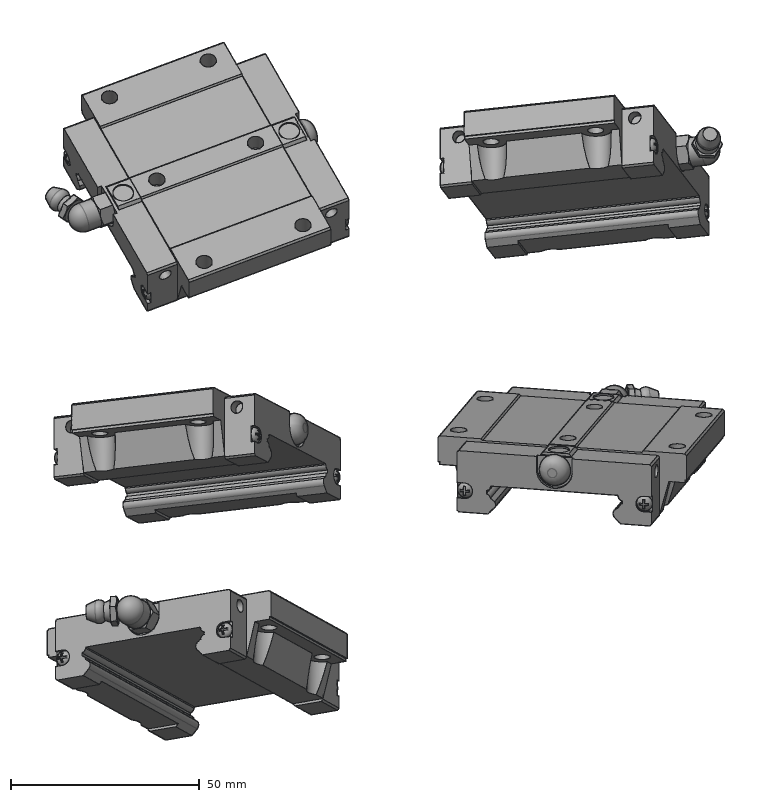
import cadquery as cq
import math


block_length = 41.45
block_height = 18.0
block_width = 68.0
block_half_width = block_width / 2
flange_bottom = 10.0
flange_chamfer = 0.5
flange_step_width = 0.45
flange_step_height = 0.75
pad_recess = 0.45
flange_pad_inner = 22.2
web_half_width = 29.2
block_bottom = 0.75
center_pad_half_width = 3.5

cap_half_width = 26.65
cap_top = 17.0
cap_end = 29.45
cap_chamfer = 0.5
cap_pad_end = 27.45
cap_pad_height = 0.75

opening_top = 7.85
opening_half_width = 17.25
groove_z = 6.0
groove_bottom_x = 18.6
groove_bottom_half_height = 0.4
groove_shoulder_x = 17.85
groove_shoulder_half_height = 0.8
groove_edge_x = 17.5
groove_edge_half_height = 1.55
lip_x = 16.05
lip_z = 2.7
lip_upper = (16.3, 3.55)
lip_lower = (16.5, 1.6)
lip_foot_x = 18.1

hole_radius = 2.15
hole_half_pitch_x = 29.9
hole_half_pitch_y = 14.4
blind_hole_depth = 5.2
drill_point_angle = 118
relief_radius = 4.15

port_y = 24.3
top_port_radius = 2.75
top_port_depth = 0.45
side_port_radius = 1.7
side_port_depth = 2.95
side_port_z = 13.8

screw_x = 24.5
screw_z = 6.0
screw_radius = 2.15
screw_pocket_depth = 0.95
screw_height = 1.5
cross_length = 2.5
cross_width = 0.6
cross_depth = 0.7

lube_z = 13.4
lube_pocket_radius = 4.9
lube_pocket_depth = 1.1
button_radius = 4.2
button_height = 3.3
button_fillet = 2.95

body_hex_flats = 8.1
body_hex_length = 4.1
body_hex_bevel_radial = 0.7
body_hex_bevel_axial = 0.4
body_radius = 3.9
elbow_y = -36.05
nipple_angle = 22.5
nipple_hex_flats = 6.95
nipple_hex_start = 3.4
nipple_hex_end = 5.2
nipple_hex_bevel_radial = 0.7
nipple_hex_bevel_axial = 0.3
nipple_base_radius = 3.1
waist_radius = 2.7
waist_at = 6.2
neck_radius = 2.45
neck_end = 6.95
crown_radius = 3.2
crown_at = 8.4
cone_radius = 3.0
cone_start = 9.2
tip_radius = 1.9
tip_end = 11.8

pocket_floor_y = cap_end - lube_pocket_depth


def both_ends(shape):
    """Return the shape together with its mirror image across the XZ plane."""
    return shape.union(shape.mirror("XZ"))


def both_sides(shape):
    """Return the shape together with its mirror image across the YZ plane."""
    return shape.union(shape.mirror("YZ"))


def along_y(outline, start, end):
    """Extrude a closed XZ outline between two Y positions."""
    return outline.extrude(end - start).translate((0, end, 0))


def make_block():
    """Flanged block with two shallow bevelled recesses along its top."""
    flange_pad_foot = flange_pad_inner - pad_recess
    recess_top = block_height - pad_recess
    half = (
        cq.Workplane("XZ")
        .moveTo(0, block_height)
        .lineTo(center_pad_half_width, block_height)
        .lineTo(center_pad_half_width + pad_recess, recess_top)
        .lineTo(flange_pad_foot, recess_top)
        .lineTo(flange_pad_inner, block_height)
        .lineTo(block_half_width - flange_chamfer, block_height)
        .lineTo(block_half_width, block_height - flange_chamfer)
        .lineTo(block_half_width, flange_bottom + flange_step_height)
        .lineTo(block_half_width - flange_step_width, flange_bottom + flange_step_height)
        .lineTo(block_half_width - flange_step_width, flange_bottom)
        .lineTo(web_half_width, flange_bottom)
        .lineTo(cap_half_width, block_bottom)
        .lineTo(0, block_bottom)
        .close()
    )
    return both_sides(along_y(half, -block_length / 2, block_length / 2))


def make_cap():
    """Rear end cap with its raised, bevelled centre pad."""
    half_cap = (
        cq.Workplane("XZ")
        .moveTo(0, cap_top)
        .lineTo(cap_half_width - cap_chamfer, cap_top)
        .lineTo(cap_half_width, cap_top - cap_chamfer)
        .lineTo(cap_half_width, cap_chamfer)
        .lineTo(cap_half_width - cap_chamfer, 0)
        .lineTo(0, 0)
        .close()
    )
    half_pad = (
        cq.Workplane("XZ")
        .moveTo(0, cap_top)
        .lineTo(center_pad_half_width + cap_pad_height, cap_top)
        .lineTo(center_pad_half_width, cap_top + cap_pad_height)
        .lineTo(0, cap_top + cap_pad_height)
        .close()
    )
    cap = along_y(half_cap, block_length / 2, cap_end)
    pad = along_y(half_pad, block_length / 2, cap_pad_end)
    return both_sides(cap.union(pad))


def make_rail_opening():
    """Rail-shaped channel through the full length, with a round-shouldered groove on each side."""
    half = (
        cq.Workplane("XZ")
        .moveTo(0, opening_top)
        .lineTo(opening_half_width, opening_top)
        .lineTo(groove_edge_x, groove_z + groove_edge_half_height)
        .threePointArc(
            (groove_shoulder_x, groove_z + groove_shoulder_half_height),
            (groove_bottom_x, groove_z + groove_bottom_half_height),
        )
        .lineTo(groove_bottom_x, groove_z - groove_bottom_half_height)
        .threePointArc(
            (groove_shoulder_x, groove_z - groove_shoulder_half_height),
            (groove_edge_x, groove_z - groove_edge_half_height),
        )
        .lineTo(*lip_upper)
        .threePointArc((lip_x, lip_z), lip_lower)
        .lineTo(lip_foot_x, 0)
        .lineTo(0, 0)
        .close()
    )
    return both_sides(along_y(half, -cap_end, cap_end))


def make_mounting_holes():
    """Through holes in the flanges, their reliefs below, and blind holes on the centre line."""
    half_angle = math.radians(drill_point_angle / 2)
    drill_point = hole_radius / math.tan(half_angle)
    rows = (-hole_half_pitch_y, hole_half_pitch_y)
    flange_points = [(x, y) for x in (-hole_half_pitch_x, hole_half_pitch_x) for y in rows]
    through = cq.Workplane("XY").pushPoints(flange_points).circle(hole_radius).extrude(block_height)
    relief = cq.Workplane("XY").pushPoints(flange_points).circle(relief_radius).extrude(flange_bottom)
    blind = (
        cq.Workplane("XZ")
        .moveTo(0, block_height)
        .lineTo(hole_radius, block_height)
        .lineTo(hole_radius, block_height - blind_hole_depth)
        .lineTo(0, block_height - blind_hole_depth - drill_point)
        .close()
        .revolve(360, (0, 0, 0), (0, 1, 0))
    )
    holes = through.union(relief)
    for y in rows:
        holes = holes.union(blind.translate((0, y, 0)))
    return holes


def make_cap_ports():
    """Shallow port on each cap pad and blind ports in both flanks of each cap."""
    pad_top = cap_top + cap_pad_height
    top_port = (
        cq.Workplane("XY", origin=(0, port_y, pad_top - top_port_depth))
        .circle(top_port_radius)
        .extrude(top_port_depth)
    )
    side_port = (
        cq.Workplane("YZ", origin=(cap_half_width - side_port_depth, port_y, side_port_z))
        .circle(side_port_radius)
        .extrude(side_port_depth)
    )
    return both_ends(top_port.union(both_sides(side_port)))


def make_lube_pocket():
    """U-shaped pocket in the rear cap face, open at the top."""
    pocket = (
        cq.Workplane("XZ")
        .moveTo(-lube_pocket_radius, cap_top)
        .lineTo(-lube_pocket_radius, lube_z)
        .threePointArc((0, lube_z - lube_pocket_radius), (lube_pocket_radius, lube_z))
        .lineTo(lube_pocket_radius, cap_top)
        .close()
    )
    return along_y(pocket, pocket_floor_y, cap_end)


def make_screw_pocket():
    """Pocket at the right rear screw, open at the cap flank."""
    pocket = (
        cq.Workplane("XZ")
        .moveTo(cap_half_width, screw_z + screw_radius)
        .lineTo(screw_x, screw_z + screw_radius)
        .threePointArc((screw_x - screw_radius, screw_z), (screw_x, screw_z - screw_radius))
        .lineTo(cap_half_width, screw_z - screw_radius)
        .close()
    )
    return along_y(pocket, cap_end - screw_pocket_depth, cap_end)


def make_screw():
    """Elliptically domed, cross-recessed screw head at the right rear."""
    head = (
        cq.Workplane("XY")
        .lineTo(screw_radius, 0)
        .ellipseArc(screw_radius, screw_height, 0, 90, startAtCurrent=True)
        .close()
        .revolve(360, (0, 0, 0), (0, 1, 0))
    )
    for size_x, size_z in ((cross_length, cross_width), (cross_width, cross_length)):
        arm = cq.Workplane("XY").box(size_x, 2 * cross_depth, size_z).translate((0, screw_height, 0))
        head = head.cut(arm)
    return head.translate((screw_x, cap_end - screw_pocket_depth, screw_z))


def make_button():
    """Rounded plug closing the rear lubrication port."""
    button = cq.Workplane("XZ").circle(button_radius).extrude(-button_height)
    return button.faces(">Y").edges().fillet(button_fillet).translate((0, pocket_floor_y, lube_z))


def make_hex(flats, length, bevel_axial, bevel_radial):
    """Hexagonal prism from the origin to -Y, corners in the XY plane, bevelled at its -Y end."""
    across_corners = flats / math.cos(math.radians(30))
    prism = cq.Workplane("XZ").polygon(6, across_corners).extrude(length)
    bevel = cq.Workplane("XZ").circle(across_corners / 2).extrude(length)
    bevel = bevel.faces("<Y").chamfer(bevel_axial, bevel_radial)
    return prism.intersect(bevel)


def make_nipple_arm():
    """Hex collar and grease fitting head along -Y, starting from the elbow centre."""
    fitting = (
        cq.Workplane("XY")
        .moveTo(0, -nipple_hex_end)
        .lineTo(nipple_base_radius, -nipple_hex_end)
        .threePointArc((waist_radius, -waist_at), (neck_radius, -neck_end))
        .threePointArc((crown_radius, -crown_at), (cone_radius, -cone_start))
        .lineTo(tip_radius, -tip_end)
        .lineTo(0, -tip_end)
        .close()
        .revolve(360, (0, 0, 0), (0, 1, 0))
    )
    hex_length = nipple_hex_end - nipple_hex_start
    collar = make_hex(nipple_hex_flats, hex_length, nipple_hex_bevel_axial, nipple_hex_bevel_radial)
    collar = collar.mirror("XZ").translate((0, -nipple_hex_end, 0))
    return fitting.union(collar)


def make_nipple():
    """Hex base, round-ended elbow and the fitting arm swung towards -X."""
    base = make_hex(body_hex_flats, body_hex_length, body_hex_bevel_axial, body_hex_bevel_radial)
    base = base.translate((0, -pocket_floor_y, 0))
    neck = cq.Workplane("XZ", origin=(0, -pocket_floor_y, 0)).circle(body_radius)
    neck = neck.extrude(-elbow_y - pocket_floor_y)
    elbow = cq.Workplane("XY").sphere(body_radius).translate((0, elbow_y, 0))
    arm = make_nipple_arm().rotate((0, 0, 0), (0, 0, 1), nipple_angle - 90)
    arm = arm.translate((0, elbow_y, 0))
    return base.union(neck).union(elbow).union(arm).translate((0, 0, lube_z))


body = make_block().cut(make_mounting_holes())
body = body.union(both_ends(make_cap()))
body = body.cut(make_rail_opening())
body = body.cut(make_cap_ports())
body = body.cut(both_ends(make_lube_pocket()))
body = body.cut(both_ends(both_sides(make_screw_pocket())))
body = body.union(both_ends(both_sides(make_screw())))
result = body.union(make_button()).union(make_nipple())